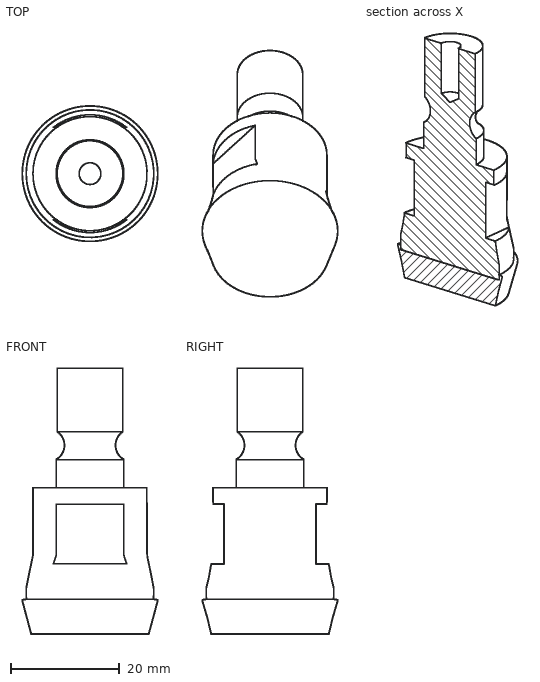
import cadquery as cq
import math

TOTAL_HEIGHT = 48.95

FOOT_HEIGHT = 6.45
FOOT_MAX_RADIUS = 12.475
FOOT_FLARE_ANGLE = 15.0
FOOT_TOP_SLOPE = 7.0
FOOT_TOP_FILLET = 0.2
FOOT_BOTTOM_FILLET = 0.2

PLUG_TOP_Z = 7.05
PLUG_DEPTH = 1.0
PLUG_TAPER_ANGLE = 3.0

COLLAR_RADIUS = 11.75
COLLAR_TOP_Z = 8.5
BODY_RADIUS = 10.5
BODY_BOTTOM_Z = 14.65
BODY_TOP_Z = 26.95
BODY_BLEND_RADIUS = 5.0
ACROSS_FLATS = 17.0
FLAT_HEIGHT = 11.0
RIM_HEIGHT = 3.0

SHANK_BASE_RADIUS = 6.25
SHANK_HEAD_RADIUS = 6.05
GROOVE_RADIUS = 3.0
GROOVE_FLOOR_RADIUS = 4.72
GROOVE_HEIGHT = 7.8
HOLE_DIAMETER = 4.0
HOLE_DEPTH = 10.0
DRILL_POINT_ANGLE = 118.0

plug_bottom_z = FOOT_HEIGHT - PLUG_DEPTH
groove_z = BODY_TOP_Z + GROOVE_HEIGHT
groove_centre_radius = GROOVE_FLOOR_RADIUS + GROOVE_RADIUS


def plug_radius(z):
    """Radius of the tapered plug, and of its socket, at height z."""
    return COLLAR_RADIUS - (PLUG_TOP_Z - z) * math.tan(math.radians(PLUG_TAPER_ANGLE))


def groove_half_width(radius):
    """Half the groove's width along Z where its arc reaches the given radius."""
    return math.sqrt(GROOVE_RADIUS**2 - (groove_centre_radius - radius) ** 2)


def radial_plane():
    """Plane with local X pointing to -X, so the seam of a revolved body lies on the -X side."""
    return cq.Workplane(cq.Plane(origin=(0, 0, 0), xDir=(-1, 0, 0), normal=(0, 1, 0)))


def revolve_about_z(profile):
    """Full turn about Z of a closed profile whose local axes are (radius, Z)."""
    return profile.revolve(360, (0, 0, 0), (0, 1, 0))


def foot_rim():
    """Radius and height of the sharp rim, before its fillet trims it to the maximum radius."""
    flare = math.radians(FOOT_FLARE_ANGLE)
    slope = math.radians(FOOT_TOP_SLOPE)
    half_corner = (math.pi / 2 + slope - flare) / 2
    centre_distance = FOOT_TOP_FILLET / math.sin(half_corner)
    bisector_angle = half_corner - slope
    centre_inset = centre_distance * math.cos(bisector_angle)
    rim_radius = FOOT_MAX_RADIUS - FOOT_TOP_FILLET + centre_inset
    socket_radius = plug_radius(FOOT_HEIGHT)
    rim_z = FOOT_HEIGHT - (rim_radius - socket_radius) * math.tan(slope)
    return rim_radius, rim_z


def make_foot():
    rim_radius, rim_z = foot_rim()
    bottom_radius = rim_radius - rim_z * math.tan(math.radians(FOOT_FLARE_ANGLE))
    profile = (
        radial_plane()
        .lineTo(bottom_radius, 0)
        .lineTo(rim_radius, rim_z)
        .lineTo(plug_radius(FOOT_HEIGHT), FOOT_HEIGHT)
        .lineTo(plug_radius(plug_bottom_z), plug_bottom_z)
        .lineTo(0, plug_bottom_z)
        .close()
    )
    foot = revolve_about_z(profile)
    foot = foot.edges(cq.selectors.RadiusNthSelector(-1)).fillet(FOOT_TOP_FILLET)
    return foot.faces("<Z").edges().fillet(FOOT_BOTTOM_FILLET)


def holder_blank():
    """Plug, collar, cone, body and grooved shank in one turned shape."""
    profile = (
        radial_plane()
        .moveTo(0, plug_bottom_z)
        .lineTo(plug_radius(plug_bottom_z), plug_bottom_z)
        .lineTo(COLLAR_RADIUS, PLUG_TOP_Z)
        .lineTo(COLLAR_RADIUS, COLLAR_TOP_Z)
        .lineTo(BODY_RADIUS, BODY_BOTTOM_Z)
        .lineTo(BODY_RADIUS, BODY_TOP_Z)
        .lineTo(SHANK_BASE_RADIUS, BODY_TOP_Z)
        .lineTo(SHANK_BASE_RADIUS, groove_z - groove_half_width(SHANK_BASE_RADIUS))
        .threePointArc(
            (GROOVE_FLOOR_RADIUS, groove_z),
            (SHANK_HEAD_RADIUS, groove_z + groove_half_width(SHANK_HEAD_RADIUS)),
        )
        .lineTo(SHANK_HEAD_RADIUS, TOTAL_HEIGHT)
        .lineTo(0, TOTAL_HEIGHT)
        .close()
    )
    return revolve_about_z(profile)


def wrench_flat_cutters():
    """Two blocks that leave the flats on the -Y and +Y sides."""
    block_size = 2 * COLLAR_RADIUS
    block_offset = (ACROSS_FLATS + block_size) / 2
    flat_bottom_z = BODY_TOP_Z - RIM_HEIGHT - FLAT_HEIGHT
    return (
        cq.Workplane("XY", origin=(0, 0, flat_bottom_z))
        .pushPoints([(0, -block_offset), (0, block_offset)])
        .rect(block_size, block_size)
        .extrude(FLAT_HEIGHT)
    )


def blend_body_into_cone(body):
    """Round the edge between body and cone, on the +X side between the flats only."""
    edge_point = (BODY_RADIUS, 0, BODY_BOTTOM_Z)
    return body.edges(cq.selectors.NearestToPointSelector(edge_point)).fillet(BODY_BLEND_RADIUS)


def shank_hole():
    """Blind hole from the top of the shank, with a conical drill point."""
    hole_radius = HOLE_DIAMETER / 2
    shoulder_z = TOTAL_HEIGHT - HOLE_DEPTH
    point_length = hole_radius / math.tan(math.radians(DRILL_POINT_ANGLE / 2))
    profile = (
        radial_plane()
        .moveTo(0, shoulder_z - point_length)
        .lineTo(hole_radius, shoulder_z)
        .lineTo(hole_radius, TOTAL_HEIGHT)
        .lineTo(0, TOTAL_HEIGHT)
        .close()
    )
    return revolve_about_z(profile)


def make_holder():
    holder = holder_blank().cut(wrench_flat_cutters())
    holder = blend_body_into_cone(holder)
    return holder.cut(shank_hole())


foot = make_foot()
holder = make_holder()

result = cq.Compound.makeCompound([foot.solids().val(), holder.solids().val()])